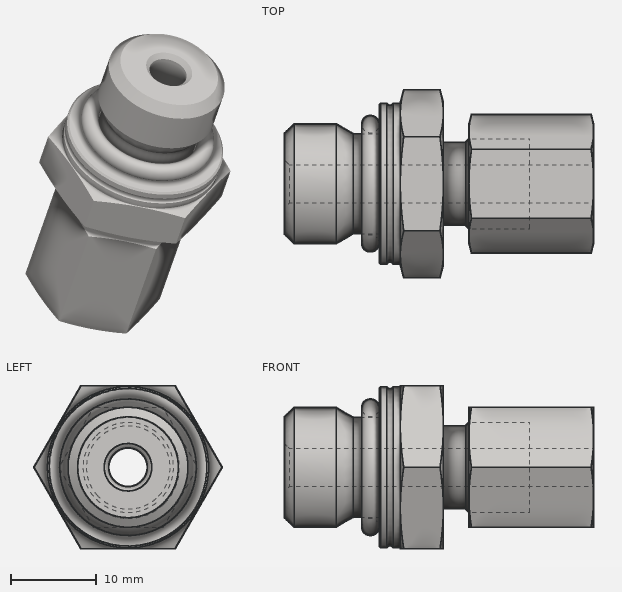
import cadquery as cq
import math

THREAD_LEAD = 1.15
THREAD_END = 6.0
NECK_START = 8.0
COLLAR_START = 11.0
COLLAR_CHAMFER = 0.2
COLLAR_GROOVE_START = 11.9
COLLAR_GROOVE_END = 12.67
HEX_START = 13.5
HEX_END = 18.5
SPIGOT_CONE_START = 21.1
NUT_START = 21.5
SPIGOT_END = 28.5
NUT_END = 36.0

STUD_TIP_RADIUS = 5.85
STUD_RADIUS = 7.0
NECK_RADIUS = 5.85
COLLAR_RADIUS = 9.4
COLLAR_GROOVE_DEPTH = 0.25
SHANK_RADIUS = 4.85
SPIGOT_RADIUS = SHANK_RADIUS + NUT_START - SPIGOT_CONE_START
BORE_RADIUS = 2.25
BORE_MOUTH_RADIUS = 2.77

BODY_ACROSS_FLATS = 19.0
NUT_ACROSS_FLATS = 14.0
CORNER_ANGLE = 15.0

RING_SECTION_RADIUS = 1.0
RING_CENTRE_RADIUS = 6.95
RING_CENTRE_X = COLLAR_START - RING_SECTION_RADIUS


def cylinder(start, end, radius):
    """Solid cylinder about the X axis."""
    return cq.Workplane("YZ", origin=(start, 0, 0)).circle(radius).extrude(end - start)


def chamfered_hexagon(start, end, across_flats):
    """Hexagonal prism with corners towards +Y and -Y, its corners turned off conically at both ends."""
    flat_radius = across_flats / 2
    corner_radius = flat_radius / math.cos(math.radians(30))
    corner_setback = (corner_radius - flat_radius) * math.tan(math.radians(CORNER_ANGLE))
    prism = (
        cq.Workplane("YZ", origin=(start, 0, 0))
        .polygon(6, 2 * corner_radius)
        .extrude(end - start)
    )
    envelope = (
        cq.Workplane("XY")
        .moveTo(start, 0)
        .lineTo(start, flat_radius)
        .lineTo(start + corner_setback, corner_radius)
        .lineTo(end - corner_setback, corner_radius)
        .lineTo(end, flat_radius)
        .lineTo(end, 0)
        .close()
        .revolve(360, (0, 0, 0), (1, 0, 0))
    )
    return prism.intersect(envelope)


def turned_body():
    """Round parts of the fitting body: stud, neck, grooved collar, shank and spigot."""
    groove_middle = (COLLAR_GROOVE_START + COLLAR_GROOVE_END) / 2
    return (
        cq.Workplane("XY")
        .moveTo(0, 0)
        .lineTo(0, STUD_TIP_RADIUS)
        .lineTo(THREAD_LEAD, STUD_RADIUS)
        .lineTo(THREAD_END, STUD_RADIUS)
        .lineTo(NECK_START, NECK_RADIUS)
        .lineTo(COLLAR_START, NECK_RADIUS)
        .lineTo(COLLAR_START, COLLAR_RADIUS - COLLAR_CHAMFER)
        .lineTo(COLLAR_START + COLLAR_CHAMFER, COLLAR_RADIUS)
        .lineTo(COLLAR_GROOVE_START, COLLAR_RADIUS)
        .threePointArc(
            (groove_middle, COLLAR_RADIUS - COLLAR_GROOVE_DEPTH),
            (COLLAR_GROOVE_END, COLLAR_RADIUS),
        )
        .lineTo(HEX_START, COLLAR_RADIUS)
        .lineTo(HEX_START, SHANK_RADIUS)
        .lineTo(SPIGOT_CONE_START, SHANK_RADIUS)
        .lineTo(NUT_START, SPIGOT_RADIUS)
        .lineTo(SPIGOT_END, SPIGOT_RADIUS)
        .lineTo(SPIGOT_END, 0)
        .close()
        .revolve(360, (0, 0, 0), (1, 0, 0))
    )


def make_body():
    """Fitting body with its hexagon and a through bore chamfered at the stud end."""
    bore_chamfer = BORE_MOUTH_RADIUS - BORE_RADIUS
    bore = (
        cq.Workplane("XY")
        .moveTo(0, 0)
        .lineTo(0, BORE_MOUTH_RADIUS)
        .lineTo(bore_chamfer, BORE_RADIUS)
        .lineTo(SPIGOT_END, BORE_RADIUS)
        .lineTo(SPIGOT_END, 0)
        .close()
        .revolve(360, (0, 0, 0), (1, 0, 0))
    )
    hexagon = chamfered_hexagon(HEX_START, HEX_END, BODY_ACROSS_FLATS)
    return turned_body().union(hexagon).cut(bore)


def make_sealing_ring():
    """O-ring around the neck."""
    return (
        cq.Workplane("XY")
        .center(RING_CENTRE_X, RING_CENTRE_RADIUS)
        .circle(RING_SECTION_RADIUS)
        .revolve(360, (0, -RING_CENTRE_RADIUS, 0), (1, -RING_CENTRE_RADIUS, 0))
    )


def make_nut():
    """Hexagonal nut with a socket for the spigot and a bore that continues to its rear face."""
    hexagon = chamfered_hexagon(NUT_START, NUT_END, NUT_ACROSS_FLATS)
    socket = cylinder(NUT_START, SPIGOT_END, SPIGOT_RADIUS)
    bore = cylinder(SPIGOT_END, NUT_END, BORE_RADIUS)
    return hexagon.cut(socket).cut(bore)


body = make_body()
sealing_ring = make_sealing_ring()
nut = make_nut()

result = cq.Compound.makeCompound([body.val(), sealing_ring.val(), nut.val()])